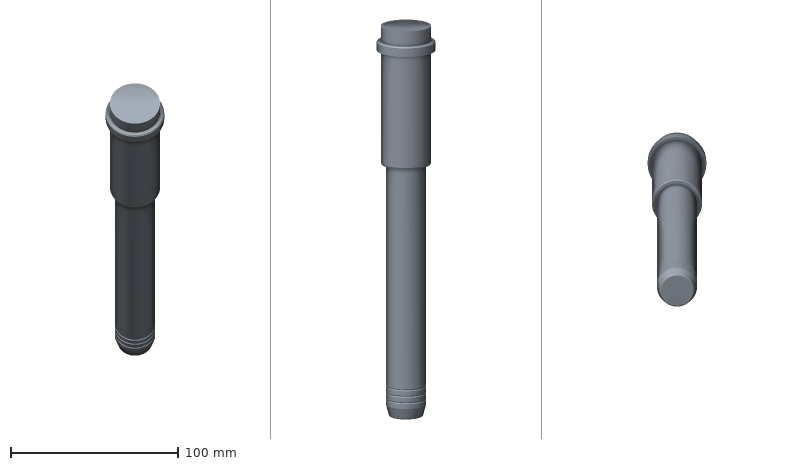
import cadquery as cq
import math

length = 240.0
body_radius = 15.0
pin_radius = 12.0
collar_radius = 17.5

body_bottom = 155.0
collar_thickness = 6.0
collar_top = 231.0
collar_bottom = collar_top - collar_thickness

collar_chamfer = 0.7
body_chamfer_height = 1.0
body_chamfer_width = 0.35
tip_fillet = 1.0

relief_width = 1.0
relief_depth = 0.2

taper_height = 7.0
taper_angle = 15.0
tip_radius = pin_radius - taper_height * math.tan(math.radians(taper_angle))

groove_count = 3
groove_span = 8.0
groove_pitch = groove_span / (groove_count - 1)
first_groove = 10.5
groove_radius = 0.6


def cylinder(radius, bottom, top):
    """Cylinder on the Z axis between two heights."""
    return cq.Workplane("XY").workplane(offset=bottom).circle(radius).extrude(top - bottom)


def tapered_pin():
    """Slender pin with a conical lead-in and a rounded tip edge."""
    profile = (
        cq.Workplane("XZ")
        .moveTo(0, 0)
        .lineTo(tip_radius, 0)
        .lineTo(pin_radius, taper_height)
        .lineTo(pin_radius, body_bottom)
        .lineTo(0, body_bottom)
        .close()
    )
    pin = profile.revolve(360, (0, 0, 0), (0, 1, 0))
    return pin.faces("<Z").edges().fillet(tip_fillet)


def ring_cutter(shaft_radius, depth, bottom, top):
    """Ring that cuts a groove of the given depth into a shaft."""
    outer = cylinder(shaft_radius, bottom, top)
    return outer.cut(cylinder(shaft_radius - depth, bottom, top))


body_profile = cq.Workplane("XZ").polyline([
    (0, body_bottom),
    (body_radius - body_chamfer_width, body_bottom),
    (body_radius, body_bottom + body_chamfer_height),
    (body_radius, length),
    (0, length),
]).close()
body = body_profile.revolve(360, (0, 0, 0), (0, 1, 0))

collar = cylinder(collar_radius, collar_bottom, collar_top)
collar = collar.faces(">Z").edges().chamfer(collar_chamfer)

result = tapered_pin().union(body).union(collar)

for shaft_radius, relief_bottom in (
    (pin_radius, body_bottom - relief_width),
    (body_radius, collar_bottom - relief_width),
    (body_radius, collar_top),
):
    relief_top = relief_bottom + relief_width
    result = result.cut(ring_cutter(shaft_radius, relief_depth, relief_bottom, relief_top))

for index in range(groove_count):
    center = first_groove + index * groove_pitch
    groove_ring = cq.Solid.makeTorus(pin_radius, groove_radius, cq.Vector(0, 0, center))
    result = result.cut(cq.Workplane(groove_ring))